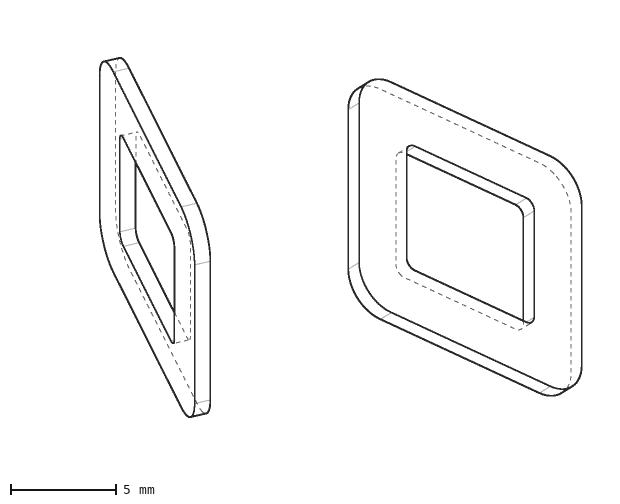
import cadquery as cq

length = 14.0
height = 13.0
thickness = 0.8
rim_width = 3.0
outer_corner_radius = 2.0
window_corner_radius = 0.5

window_length = length - 2 * rim_width
window_height = height - 2 * rim_width


def rounded_plate(size_x, size_z, corner_radius):
    """Plate centred on the origin, with its thickness along Y and rounded corners."""
    return cq.Workplane("XY").box(size_x, thickness, size_z).edges("|Y").fillet(corner_radius)


outer_plate = rounded_plate(length, height, outer_corner_radius)
window = rounded_plate(window_length, window_height, window_corner_radius)

result = outer_plate.cut(window)